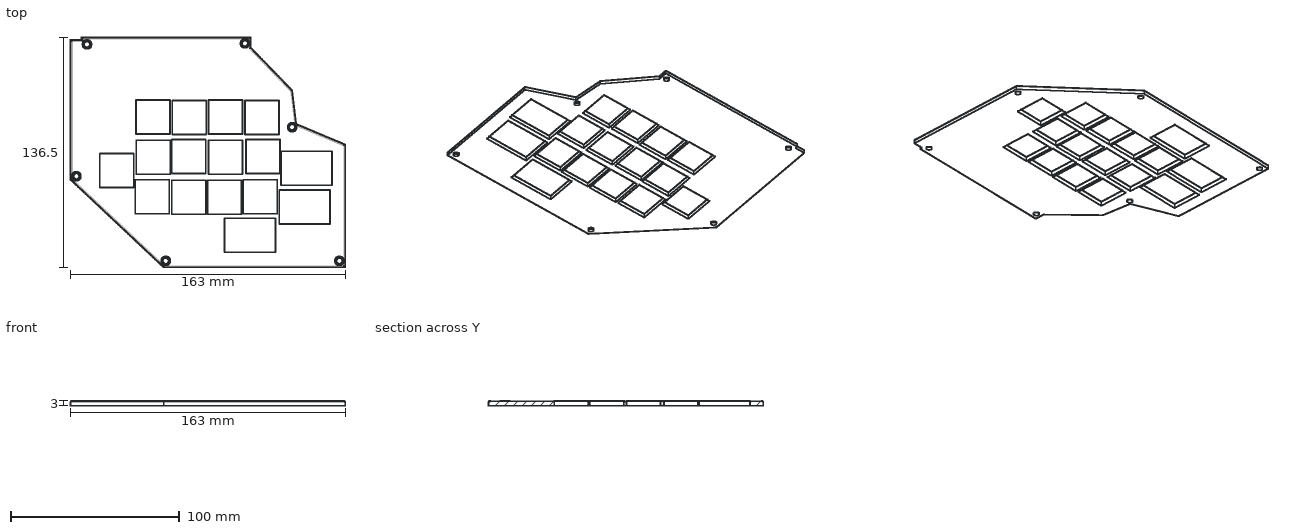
import cadquery as cq

plate_length = 163.0
plate_width = 136.5
plate_thickness = 3.0
edge_radius = 1.0

right = plate_length / 2
left = -right
back = plate_width / 2
front = -back

back_step_x = -75.0
back_step_depth = 1.5
back_right_corner = (25.5, 62.0)
shoulder_corner = (50.0, 36.7)
inner_corner = (52.4, 16.8)
right_edge_top = 4.6
front_edge_left = -26.2
left_edge_bottom = -16.2

screw_diameter = 3.4
countersink_diameter = 5.4
countersink_angle = 90.0
screw_centers = [
    (-71.7, 64.0),
    (22.0, 64.6),
    (50.0, 14.9),
    (78.0, -64.4),
    (-25.0, -64.4),
    (-78.0, -14.2),
]

key_size = 20.0
wide_key_length = 30.0
back_row_centers = [(-32.5, 21.0), (-11.1, 20.6), (10.5, 21.0), (32.1, 20.6)]
middle_row_centers = [(-32.4, -2.9), (-11.4, -2.55), (10.4, -2.9), (32.65, -2.55)]
front_row_centers = [(-32.95, -26.35), (-11.4, -26.7), (9.8, -26.7), (31.1, -26.35)]
single_key_center = (-54.0, -10.8)
wide_key_centers = [(58.5, -9.5), (57.4, -32.4), (25.0, -49.2)]


def make_plate():
    """Flat plate with its upper outer edge rounded."""
    outline = [
        (left, back - back_step_depth),
        (back_step_x, back - back_step_depth),
        (back_step_x, back),
        (back_right_corner[0], back),
        back_right_corner,
        shoulder_corner,
        inner_corner,
        (right, right_edge_top),
        (right, front),
        (front_edge_left, front),
        (left, left_edge_bottom),
    ]
    plate = cq.Workplane("XY").polyline(outline).close().extrude(plate_thickness)
    return plate.faces(">Z").edges().fillet(edge_radius)


def cut_key_windows(plate, centers, length):
    """Cut a rectangular window of the given length through the plate at each centre."""
    windows = cq.Workplane("XY").pushPoints(centers).rect(length, key_size).extrude(plate_thickness)
    return plate.cut(windows)


def cut_screw_holes(plate):
    """Cut the countersunk screw holes down from the top plane of the plate."""
    top = plate.copyWorkplane(cq.Workplane("XY", origin=(0, 0, plate_thickness)))
    return top.pushPoints(screw_centers).cskHole(screw_diameter, countersink_diameter, countersink_angle)


square_key_centers = [single_key_center] + back_row_centers + middle_row_centers + front_row_centers

result = make_plate()
result = cut_key_windows(result, square_key_centers, key_size)
result = cut_key_windows(result, wide_key_centers, wide_key_length)
result = cut_screw_holes(result)